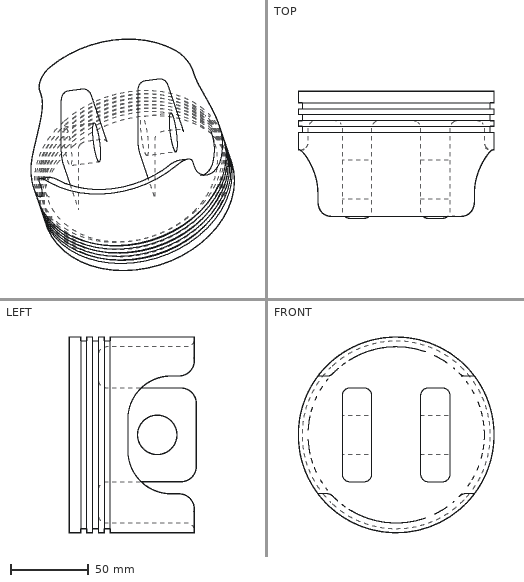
import cadquery as cq

INCH = 25.4

bore_radius = 2.5 * INCH
skirt_length = 3.2 * INCH
wall = 0.25 * INCH
crown_thickness = 0.75 * INCH
round_radius = 0.2 * INCH

groove_count = 3
top_land = 0.3 * INCH
groove_width = 0.15 * INCH
groove_pitch = 2 * groove_width
groove_depth = 0.1 * INCH

cutout_start = 1.5 * INCH
cutout_half_width = 1.5 * INCH
cutout_inner_radius = 1.1 * INCH
cutout_mouth_radius = 2 * round_radius

boss_end = 3.25 * INCH
boss_thickness = 0.75 * INCH
boss_width = 2.4 * INCH
boss_offset = 1.0 * INCH
boss_corner_radius = 2 * round_radius
pin_diameter = 1.0 * INCH
pin_depth = 2.25 * INCH

inner_radius = bore_radius - wall
selection_margin = 0.01


def cylinder(radius, start, length):
    """Cylinder on the Y axis, running towards -Y from the given depth below the crown."""
    return cq.Workplane("XZ", origin=(0, -start, 0)).circle(radius).extrude(length)


def make_cup():
    cup = cylinder(bore_radius, 0, skirt_length)
    return cup.cut(cylinder(inner_radius, crown_thickness, skirt_length - crown_thickness))


def cut_ring_grooves(body):
    for index in range(groove_count):
        start = top_land + index * groove_pitch
        core = cylinder(bore_radius - groove_depth, start, groove_width)
        ring = cylinder(bore_radius, start, groove_width).cut(core)
        body = body.cut(ring)
    return body


def make_cutout():
    """Slot along X with rounded inner corners and a mouth that flares with a round."""
    mouth_half_width = cutout_half_width + cutout_mouth_radius
    floor_half_width = cutout_half_width - cutout_inner_radius
    side_start = -(cutout_start + cutout_inner_radius)
    side_end = -(skirt_length - cutout_mouth_radius)
    return (
        cq.Workplane("YZ")
        .moveTo(-skirt_length, mouth_half_width)
        .radiusArc((side_end, cutout_half_width), -cutout_mouth_radius)
        .lineTo(side_start, cutout_half_width)
        .radiusArc((-cutout_start, floor_half_width), cutout_inner_radius)
        .lineTo(-cutout_start, -floor_half_width)
        .radiusArc((side_start, -cutout_half_width), cutout_inner_radius)
        .lineTo(side_end, -cutout_half_width)
        .radiusArc((-skirt_length, -mouth_half_width), -cutout_mouth_radius)
        .close()
        .extrude(bore_radius, both=True)
    )


def round_inner_edges(body):
    """Round the cavity floor corner and the inside of the skirt's free edge."""
    cavity_wall = [
        face
        for face in body.faces("%CYLINDER").vals()
        if abs(face._geomAdaptor().Cylinder().Radius() - inner_radius) < selection_margin
    ]
    return body.newObject(cavity_wall).edges("not |Y").fillet(round_radius)


def make_boss(x_center):
    length = boss_end - crown_thickness
    boss = (
        cq.Workplane("XY")
        .box(boss_thickness, length, boss_width)
        .translate((x_center, -(crown_thickness + length / 2), 0))
    )
    boss = boss.faces("<Y").edges("|X").fillet(boss_corner_radius)
    return boss.faces("<X or >X").edges("not >Y").fillet(round_radius)


def add_bosses(body):
    """Join both bosses to the cavity floor and blend their feet into it."""
    for x_center in (-boss_offset, boss_offset):
        body = body.union(make_boss(x_center))
        foot = cq.selectors.BoxSelector(
            (x_center - boss_thickness, -crown_thickness - selection_margin, -boss_width),
            (x_center + boss_thickness, -crown_thickness + selection_margin, boss_width),
        )
        foot_edges = [
            edge
            for edge in body.edges(foot).vals()
            if edge.BoundingBox().ylen < selection_margin
        ]
        body = body.newObject(foot_edges).fillet(round_radius)
    return body


def cut_pin_hole(body):
    hole = (
        cq.Workplane("YZ")
        .center(-pin_depth, 0)
        .circle(pin_diameter / 2)
        .extrude(boss_offset + boss_thickness, both=True)
    )
    return body.cut(hole)


piston = make_cup().cut(make_cutout())
piston = round_inner_edges(piston)
piston = add_bosses(piston)
piston = cut_pin_hole(piston)
result = cut_ring_grooves(piston)